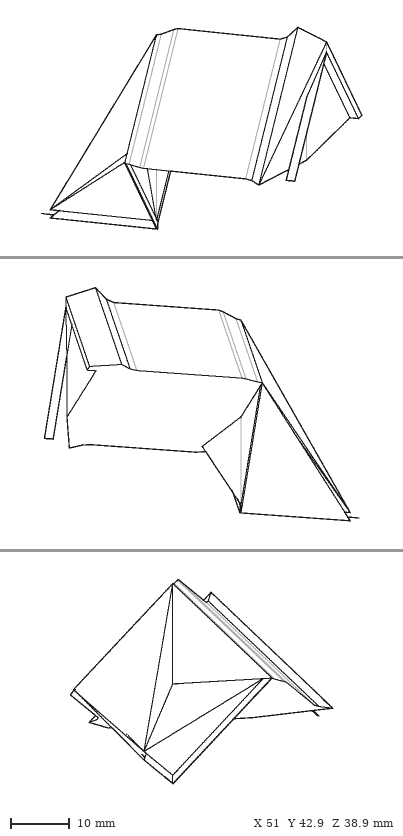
import cadquery as cq

mouth_x = 30.45
rim_x = 25.3
rim_radius = 21.45
mouth_radius = 19.4
neck_radius = 17.5
barrel_radius = 19.0
housing_profile = [
    (0, neck_radius),
    (0.85, 17.7),
    (3.1, 18.75),
    (3.9, barrel_radius),
    (22.15, barrel_radius),
    (23.4, 19.55),
    (rim_x, rim_radius),
    (mouth_x, mouth_radius),
]

recess_depth = 1.55
recess_radius = 17.45
lip_thickness = 0.2

nose_length = 19.0
core_radius = 15.9
trough_radius = 17.4
heel_length = 3.35
collar_thickness = 0.2

point_reach = 20.55
point_thickness = 0.1
point_root = 17.85
point_z = -16.75

origin = (0, 0, 0)
core_tip = (-nose_length, 0, -core_radius)
core_bottom = (0, 0, -core_radius)


def flat_face(corners):
    return cq.Face.makeFromWires(cq.Wire.makePolygon(corners, close=True))


def tetrahedron(a, b, c, d):
    """Solid with four triangular faces."""
    faces = [flat_face(corners) for corners in ((a, b, c), (a, b, d), (a, c, d), (b, c, d))]
    return cq.Workplane(cq.Solid.makeSolid(cq.Shell.makeShell(faces)))


def half_diamond(x, radius):
    """Upper half of a diamond outline, standing at the given X."""
    return cq.Wire.makePolygon([(x, -radius, 0), (x, 0, radius), (x, radius, 0)], close=True)


def half_frustum(start_x, start_radius, end_x, end_radius):
    outlines = [half_diamond(start_x, start_radius), half_diamond(end_x, end_radius)]
    return cq.Workplane(cq.Solid.makeLoft(outlines, True))


def make_lip():
    """Thin strip round the -Y half of the mouth recess."""
    start_x = mouth_x - recess_depth
    outer_radius = recess_radius + lip_thickness
    ring = half_frustum(start_x, outer_radius, mouth_x, outer_radius)
    ring = ring.cut(half_frustum(start_x, recess_radius, mouth_x, recess_radius))
    near_side = cq.Workplane().box(mouth_x, rim_radius, rim_radius, centered=False)
    return ring.intersect(near_side.translate((0, -rim_radius, 0)))


def make_housing():
    sections = [
        half_frustum(*start, *end) for start, end in zip(housing_profile, housing_profile[1:])
    ]
    body = sections[0]
    for section in sections[1:]:
        body = body.union(section)

    slanted_cut = (
        cq.Workplane()
        .polyline([(rim_x, -rim_radius), (mouth_x, -rim_radius), (mouth_x, 0)])
        .close()
        .extrude(rim_radius)
    )
    recess = half_frustum(mouth_x - recess_depth, recess_radius, mouth_x, recess_radius)
    return body.cut(slanted_cut).cut(recess).union(make_lip())


def make_nose():
    """Wedge on the +Y side, from the neck down to the tip of the core."""
    return tetrahedron(origin, (0, 0, neck_radius), (0, neck_radius, 0), core_tip)


def make_core():
    """Pointed lower body, with a heel that runs back under the housing."""
    body = tetrahedron(origin, core_bottom, (0, core_radius, 0), core_tip)
    near_corner = (0, -core_radius, 0)
    body = body.union(tetrahedron(origin, core_bottom, near_corner, core_tip))
    heel_corner = (heel_length, -core_radius, 0)
    return body.union(tetrahedron(origin, core_bottom, near_corner, heel_corner))


def make_collar():
    """Thin upright strip that carries the trough round the -Y side of the core."""
    outline = [
        (0, -trough_radius),
        (collar_thickness, collar_thickness - trough_radius),
        (collar_thickness, collar_thickness - core_radius),
        (0, -core_radius),
        (-core_radius, 0),
        (-trough_radius, 0),
    ]
    return cq.Workplane("YZ").polyline(outline).close().extrude(collar_thickness)


def make_trough(core):
    """Thin shell under the +Y side of the core, with a slender point and a collar."""
    trough_tip = (-nose_length, 0, -trough_radius)
    shell = tetrahedron(origin, (0, 0, -trough_radius), (0, trough_radius, 0), trough_tip)
    shell = shell.cut(core)
    point = tetrahedron(
        (-point_root, 0, point_z),
        (-point_root, 0, point_z - point_thickness),
        (-point_root, point_thickness, point_z),
        (-point_reach, 0, point_z),
    )
    return shell.union(point).union(make_collar())


housing = make_housing()
nose = make_nose()
core = make_core()
trough = make_trough(core)

result = cq.Compound.makeCompound([housing.val(), nose.val(), core.val(), trough.val()])